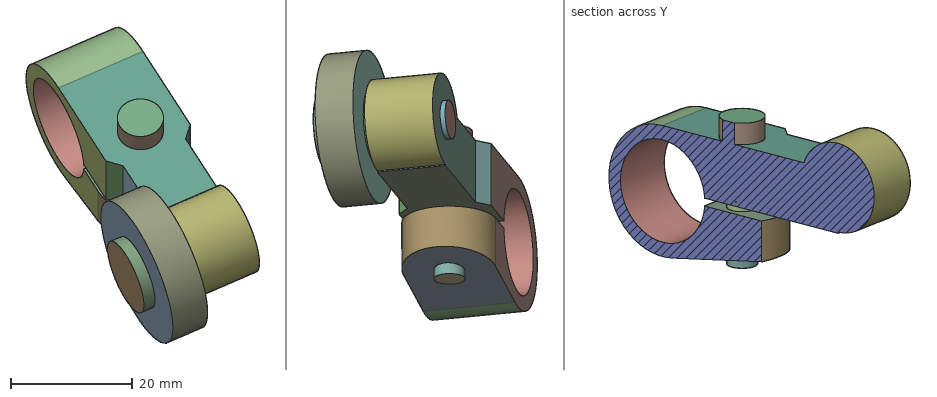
import cadquery as cq
import math

clamp_radius = 11.45
bore_radius = 8.9
clamp_width = 15.75
half_width = clamp_width / 2
slot_gap = 1.3

screw_x = 13.95
head_diameter = 7.6
head_top = 15.2
shank_diameter = 5.15
shank_bottom = -10.55

jaw_end_x = screw_x + half_width
jaw_end_bottom = -7.65

arm_width = 11.65
taper_start_x = 16.65
taper_end_x = 18.85

roller_x = 37.1
roller_z = 8.65
roller_radius = 12.7
roller_back_y = -6.4
roller_front_y = -12.9
boss_diameter = 15.55
collar_diameter = 12.8
collar_front_y = -15.0
pin_diameter = 6.4
pin_back_y = 6.7


def y_cylinder(x, z, diameter, y_front, y_back):
    """Cylinder along Y between two Y positions."""
    return (
        cq.Workplane("XZ", origin=(x, y_back, z))
        .circle(diameter / 2)
        .extrude(y_back - y_front)
    )


def z_cylinder(diameter, bottom, top):
    """Cylinder on the screw axis between two heights."""
    return (
        cq.Workplane("XY", origin=(screw_x, 0, bottom))
        .circle(diameter / 2)
        .extrude(top - bottom)
    )


def make_arm():
    half_arm = arm_width / 2
    return (
        cq.Workplane("XY", origin=(0, 0, slot_gap / 2))
        .moveTo(0, -half_width)
        .lineTo(taper_start_x, -half_width)
        .lineTo(taper_end_x, -half_arm)
        .lineTo(roller_x, -half_arm)
        .lineTo(roller_x, half_arm)
        .lineTo(taper_end_x, half_arm)
        .lineTo(taper_start_x, half_width)
        .lineTo(0, half_width)
        .close()
        .extrude(clamp_radius - slot_gap / 2)
    )


def make_ring_and_lower_jaw():
    corner_distance = math.hypot(jaw_end_x, jaw_end_bottom)
    corner_angle = math.atan2(jaw_end_bottom, jaw_end_x)
    tangent_angle = corner_angle - math.acos(clamp_radius / corner_distance)
    tangent_x = clamp_radius * math.cos(tangent_angle)
    tangent_z = clamp_radius * math.sin(tangent_angle)
    side_profile = (
        cq.Workplane("XZ", origin=(0, half_width, 0))
        .moveTo(0, clamp_radius)
        .threePointArc((-clamp_radius, 0), (tangent_x, tangent_z))
        .lineTo(jaw_end_x, jaw_end_bottom)
        .lineTo(jaw_end_x, -slot_gap / 2)
        .lineTo(0, -slot_gap / 2)
        .close()
        .extrude(clamp_width)
    )
    plan_outline = (
        cq.Workplane("XY", origin=(0, 0, -clamp_radius))
        .moveTo(-clamp_radius, -half_width)
        .lineTo(screw_x, -half_width)
        .threePointArc((jaw_end_x, 0), (screw_x, half_width))
        .lineTo(-clamp_radius, half_width)
        .close()
        .extrude(2 * clamp_radius)
    )
    return side_profile.intersect(plan_outline)


def make_clamp():
    bore = y_cylinder(0, 0, 2 * bore_radius, -half_width, half_width)
    return make_ring_and_lower_jaw().union(make_arm()).cut(bore)


def make_screw():
    shank = z_cylinder(shank_diameter, shank_bottom, clamp_radius)
    head = z_cylinder(head_diameter, clamp_radius, head_top)
    return shank.union(head)


def make_roller():
    boss = y_cylinder(roller_x, roller_z, boss_diameter, -arm_width / 2, arm_width / 2)
    disc = y_cylinder(roller_x, roller_z, 2 * roller_radius, roller_front_y, roller_back_y)
    collar = y_cylinder(roller_x, roller_z, collar_diameter, collar_front_y, -arm_width / 2)
    pin = y_cylinder(roller_x, roller_z, pin_diameter, collar_front_y, pin_back_y)
    return boss.union(disc).union(collar).union(pin)


result = make_clamp().union(make_screw()).union(make_roller())